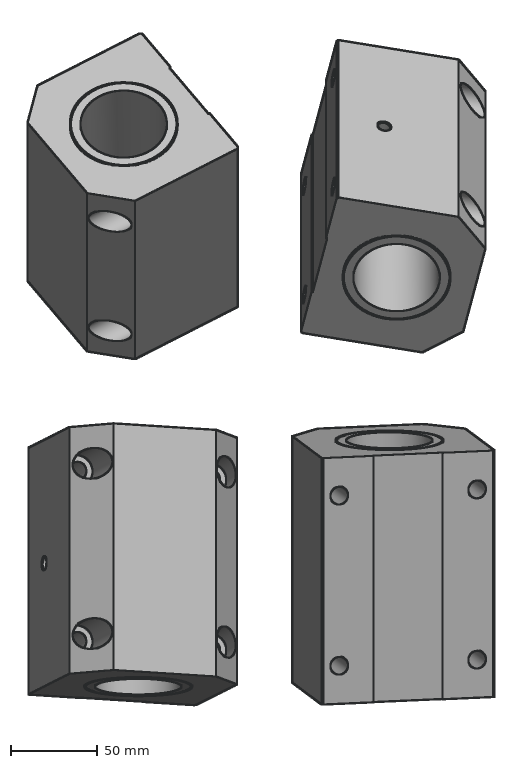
import cadquery as cq
import math

length = 145.0
width = 103.0
depth = 92.0
front_chamfer = 20.0
back_chamfer = 1.0

relief_width = 41.0
relief_depth = 0.7

bushing_count = 2
bushing_length = length / bushing_count
bushing_outer_diameter = 62.5
bushing_inner_diameter = 50.0
bushing_chamfer = 0.7

bolt_pitch_x = 82.0
bolt_pitch_z = 100.0
bolt_diameter = 10.5
counterbore_diameter = 18.0
counterbore_depth = 34.8

lube_diameter = 7.2
lube_mouth_diameter = 8.3
lube_depth = 8.7
lube_from_back = 28.0
drill_point_angle = 118.0

front_y = -depth / 2
back_y = depth / 2
side_x = width / 2


def make_block():
    """Prism with large front chamfers and small back chamfers."""
    block = cq.Workplane("XY").box(width, depth, length)
    block = block.faces("<Y").edges("|Z").chamfer(front_chamfer)
    return block.faces(">Y").edges("|Z").chamfer(back_chamfer)


def make_back_relief():
    """Full-length shallow channel in the mounting face."""
    return cq.Workplane("XY").box(relief_width, 2 * relief_depth, length).translate((0, back_y, 0))


def make_bolt_holes():
    """Four through holes with counterbores from the front."""
    front = cq.Workplane("XZ", origin=(0, front_y, 0)).rarray(bolt_pitch_x, bolt_pitch_z, 2, 2)
    shanks = front.circle(bolt_diameter / 2).extrude(-depth)
    heads = front.circle(counterbore_diameter / 2).extrude(-counterbore_depth)
    return shanks.union(heads)


def make_lube_hole():
    """Blind drilled hole with a conical bottom and a 45 degree mouth chamfer."""
    radius = lube_diameter / 2
    mouth_radius = lube_mouth_diameter / 2
    tip_length = radius / math.tan(math.radians(drill_point_angle / 2))
    profile = (
        cq.Workplane("XY")
        .moveTo(0, 0)
        .lineTo(0, mouth_radius)
        .lineTo(mouth_radius - radius, radius)
        .lineTo(lube_depth, radius)
        .lineTo(lube_depth + tip_length, 0)
        .close()
    )
    hole = profile.revolve(360, (0, 0, 0), (1, 0, 0))
    return hole.translate((-side_x, back_y - lube_from_back, 0))


def make_housing():
    bore = cq.Workplane("XY").circle(bushing_outer_diameter / 2).extrude(length / 2, both=True)
    return make_block().cut(bore).cut(make_back_relief()).cut(make_bolt_holes()).cut(make_lube_hole())


def make_bushing(bottom_z):
    """Plain sleeve with its outer end edges chamfered."""
    sleeve = cq.Workplane("XY", origin=(0, 0, bottom_z)).circle(bushing_outer_diameter / 2)
    sleeve = sleeve.extrude(bushing_length).faces("<Z or >Z").edges().chamfer(bushing_chamfer)
    bore = cq.Workplane("XY", origin=(0, 0, bottom_z)).circle(bushing_inner_diameter / 2)
    return sleeve.cut(bore.extrude(bushing_length))


housing = make_housing()
bushings = [make_bushing(-length / 2 + i * bushing_length) for i in range(bushing_count)]

result = cq.Compound.makeCompound([housing.val(), *[bushing.val() for bushing in bushings]])